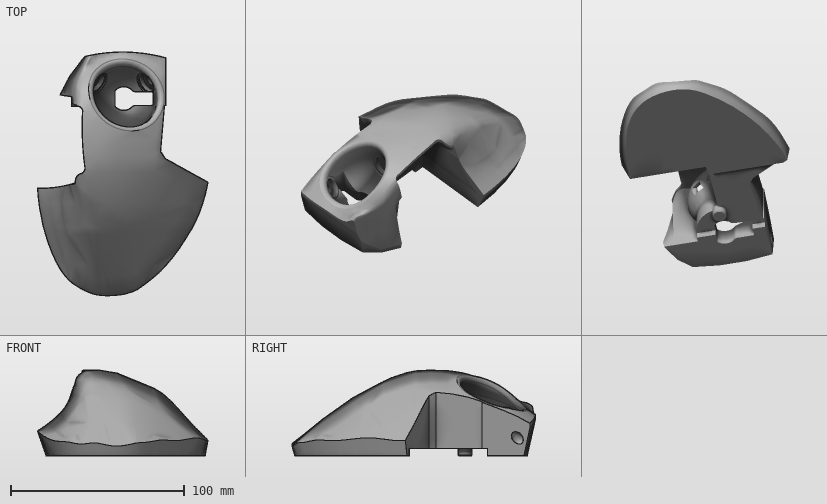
import cadquery as cq
import math

BLOCK_HEIGHT = 63.2
REACH = 168.5
FOUNDATION_Z = -84.3

BALL_X, BALL_Y, BALL_Z = 49.7, 113.6, 29.2
BALL_CENTER = cq.Vector(BALL_X, BALL_Y, BALL_Z)
CUP_RADIUS = 19.1
CUP_WALL = 2.1
CUP_BLEND = 15.0
MOUTH_AXIS = cq.Vector(0.22, 0.3, 1)
MOUTH_FILLET = 2.7
BEARINGS = ((34, 33), (148, 24), (270, 8))
BEARING_DIAMETER = 11.2
BEARING_RIM_DIAMETER = 13.5
BEARING_BORE_START = 9.8
BEARING_SHOULDER = 18.8
BEARING_SEAT = 21.8
THROUGH_HOLE_DIAMETER = 5.6
WINDOW_DEPTH, WINDOW_WIDTH, WINDOW_HEIGHT = 11.2, 4.5, 6.5
WINDOW_CENTER = cq.Vector(36.5, 97.5, 25.8)

SENSOR_DIAMETER = 13.5
SENSOR_FLAT = 5.0
SENSOR_SLOT_END = 16.9
SENSOR_SLOT_WIDTH = 7.7
SENSOR_SLOT_FILLET = 0.8
SENSOR_BLEND = 2.8
SENSOR_HOUSING_RADIUS = 16.0
SENSOR_HOUSING_FILLET = 1.8

LIP_X = 26.0
LIP_THICKNESS = 2.1
ROOF_THICKENING = 0.08
NOSE_THICKENING = 0.005695
LIP_PEAK_Y = 84.3
RELIEF_HEIGHT = 4.1
RELIEF_START, RELIEF_END = 67.8, 112.7
PIN_DIAMETER = 8.1
PIN_Y = 99.9
PIN_CHAMFER = 0.5

PALM_WIDTH = 98.2
PALM_CENTER = cq.Vector(45, 64.6, 0)
LEFT_FLARE, RIGHT_FLARE = 0.35, 0.2
FLARE_TOP = 21.1
NOSE_FLARE = 12
PALM_RIM = (
    (0, 81.5, 14.3), (0, 62.1, 14.3), (2.4, 44.5, 12.0), (6.3, 29.8, 10.3), (13.8, 14.5, 8.3), (22.2, 5.9, 7.2),
    (31.7, 1.5, 6.5), (42.4, 0, 6.3), (54.1, 2.2, 6.5), (64.6, 9.1, 7.2), (74.2, 18.1, 8.0), (86.8, 35.1, 9.4),
    (93.3, 48.3, 9.4), (PALM_WIDTH, 65.2, 9.1), (PALM_WIDTH, 81.5, 9.1),
)

ROOF_SECTIONS = (
    (-11.2, ((-5.6, 5.6), (11.2, 1.4), (23.9, -0.7), (30.9, -0.7), (45, -0.8), (60.4, -1.4), (74.5, 0), (87.1, 2.8), (104, 5.6))),
    (5.6, ((-5.6, 9.1), (11.2, 6.7), (22.5, 6.9), (30.9, 9.4), (42.1, 10.5), (56.2, 9.1), (64.6, 6.5), (84.3, 6.3), (104, 5.6))),
    (19.7, ((-5.6, 8.4), (9.8, 8.1), (21.1, 14.3), (29.5, 20.6), (40.7, 22.5), (56.2, 19.4), (67.4, 13.0), (80, 7.6), (104, 5.6))),
    (42.1, ((-5.6, 9.8), (2.8, 11.8), (15.5, 20.6), (25.3, 33.3), (35.1, 37.1), (53.4, 34.5), (70.2, 26.0), (91.3, 9.8), (104, 4.9))),
    (63.2, ((-5.6, 12.0), (0, 14.3), (14, 25.5), (20.1, 37.0), (27.4, 46.4), (46.4, 45.2), (67.4, 36.5), (84.3, 21.1), (104, 4.2))),
    (84.3, ((-5.6, 12.2), (0, 14.3), (14, 26.7), (20.5, 43.5), (27.4, 49.3), (46.4, 47.3), (67.4, 38.6), (84.3, 26.7), (104, 11.2))),
    (109.5, ((-5.6, -1.4), (5.6, 4.2), (12.6, 10.3), (19.7, 33.7), (26.4, 44.5), (46.4, 42.4), (67.4, 34.4), (84.3, 23.9), (104, 11.2))),
    (126.4, ((-5.6, -16.9), (7, -11.2), (17.7, 0.7), (22.2, 25.3), (28.1, 35.1), (46.4, 34.0), (67.4, 27.4), (84.3, 18.3), (104, 7))),
    (143.3, ((-5.6, -39.3), (11.2, -25.3), (19.7, -14), (24.9, 9.8), (30.8, 21.9), (46.4, 23.3), (67.4, 19.0), (84.3, 12.6), (104, 4.2))),
)


def roof_thickness(x, y):
    rate = ROOF_THICKENING + NOSE_THICKENING * max(0, y - LIP_PEAK_Y)
    return LIP_THICKNESS + rate * (x - LIP_X)


def roof_solid(under_skin=False):
    """Everything under the roof surface, or under the ceiling of the thumb opening."""
    wires = []
    for y, points in ROOF_SECTIONS:
        top = [cq.Vector(x, y, z - (roof_thickness(x, y) if under_skin else 0)) for x, z in points]
        low_right = cq.Vector(top[-1].x, y, FOUNDATION_Z)
        low_left = cq.Vector(top[0].x, y, FOUNDATION_Z)
        edges = [
            cq.Edge.makeSpline(top, parameters=range(len(top))),
            cq.Edge.makeLine(top[-1], low_right),
            cq.Edge.makeLine(low_right, low_left),
            cq.Edge.makeLine(low_left, top[0]),
        ]
        wires.append(cq.Wire.assembleEdges(edges))
    return cq.Workplane(obj=cq.Solid.makeLoft(wires))


def palm_outline(height):
    """Closed outline of the flared palm skirt at a given height."""
    points = []
    for x, y, rim_height in PALM_RIM:
        away = (cq.Vector(x, y, 0) - PALM_CENTER).normalized()
        lean = LEFT_FLARE + (RIGHT_FLARE - LEFT_FLARE) * x / PALM_WIDTH
        points.append(cq.Vector(x, y, height) + away * ((height - rim_height) * lean))
    return cq.Wire.assembleEdges([cq.Edge.makeSpline(points), cq.Edge.makeLine(points[-1], points[0])])


def palm_block():
    skirt = cq.Workplane(obj=cq.Solid.makeLoft([palm_outline(0), palm_outline(FLARE_TOP)], True))
    above = cq.Face.makeFromWires(palm_outline(FLARE_TOP))
    upright = cq.Solid.extrudeLinear(above, cq.Vector(0, 0, BLOCK_HEIGHT - FLARE_TOP))
    skirt = skirt.union(cq.Workplane(obj=upright))
    front_edge = (
        cq.Workplane("XY").moveTo(-42.1, -42.1).lineTo(-42.1, 62.1).lineTo(0, 62.1)
        .threePointArc((12.6, 63.0), (22.5, 65.3)).lineTo(73.6, 79.1).lineTo(98.2, 65.5)
        .lineTo(140.5, 42.1).lineTo(140.5, -42.1).close()
    )
    return skirt.intersect(front_edge.extrude(BLOCK_HEIGHT))


def bridge_block():
    """Bridge between palm and nose, with the notched lip over the thumb opening."""
    outline = (
        cq.Workplane("XY").moveTo(21.8, 56.2).lineTo(21.8, 66)
        .threePointArc((22.9, 69.1), (25.3, 70.5)).threePointArc((26.7, 71.6), (27.3, 74.2))
        .spline([(25.7, 94.1), (25.8, 105.4)], includeCurrent=True)
        .threePointArc((25.3, 108.2), (23.6, 109.1)).lineTo(19.7, 109.1).lineTo(19.7, 118)
        .lineTo(73.9, 118).lineTo(71.0, 83.2).lineTo(73.6, 79.1).lineTo(73.6, 56.2).close()
    )
    return outline.extrude(BLOCK_HEIGHT)


def nose_block():
    """Nose with a flared front, trimmed to its outline in plan."""
    flared = (
        cq.Workplane("XY").moveTo(14, 109.5).lineTo(14, 115.9).lineTo(19.4, 126.4).lineTo(27.0, 133.7)
        .threePointArc((43.5, 135.7), (81.5, 132)).lineTo(81.5, 109.5).close()
        .extrude(BLOCK_HEIGHT, taper=-NOSE_FLARE)
    )
    limits = (
        cq.Workplane("XY").moveTo(12.5, 115.7).threePointArc((18.7, 128.5), (27.0, 137.8))
        .threePointArc((49.2, 140.5), (73.9, 137.1)).lineTo(73.9, 109.5).lineTo(19.7, 109.5).lineTo(19.7, 114.6).close()
    )
    return flared.intersect(limits.extrude(BLOCK_HEIGHT))


def cup_outside():
    """Outer half of the ball cup, blended into the web, with the sensor housing."""
    outer = CUP_RADIUS + CUP_WALL
    foot = math.sqrt((outer + CUP_BLEND) ** 2 - CUP_BLEND ** 2)
    lean = math.asin(CUP_BLEND / (outer + CUP_BLEND))
    touch = (-outer * math.sin(lean), outer * math.cos(lean))
    cap_angle = (lean + math.pi / 2) / 2
    cap_middle = (-outer * math.sin(cap_angle), outer * math.cos(cap_angle))
    blend_angle = (math.pi / 2 - lean) / 2
    blend_middle = (-CUP_BLEND * (1 - math.cos(blend_angle)), foot - CUP_BLEND * math.sin(blend_angle))
    cup = (
        cq.Workplane("XY", origin=BALL_CENTER.toTuple()).moveTo(1.4, 0).lineTo(-outer, 0)
        .threePointArc(cap_middle, touch).threePointArc(blend_middle, (0, foot))
        .lineTo(1.4, foot).close().revolve(360, (0, 0), (1, 0))
    )
    housing = cq.Workplane("XY").center(BALL_X, BALL_Y).circle(SENSOR_HOUSING_RADIUS).extrude(BALL_Z)
    cup = cup.union(housing)
    rim_level = BALL_Z - math.sqrt(outer ** 2 - SENSOR_HOUSING_RADIUS ** 2)
    picker = cq.selectors.BoxSelector(
        (BALL_X - 16.9, BALL_Y - 16.9, rim_level - 0.7), (BALL_X + 16.9, BALL_Y + 16.9, rim_level + 0.7))
    return cup.edges(picker).fillet(SENSOR_HOUSING_FILLET)


def thumb_opening():
    """Space beside the web, under the roof lip, around the outside of the cup."""
    profile = (
        cq.Workplane("YZ").moveTo(61.8, -1.4).lineTo(62.1, 11.2).lineTo(64.2, 32.6).lineTo(64.2, 38.9)
        .lineTo(69.1, 48.3).lineTo(69.1, 56.2).lineTo(108.6, 56.2).lineTo(109.1, 45).lineTo(111.8, 28.1)
        .lineTo(115.6, -1.4).close()
    )
    space = profile.extrude(BALL_X)
    return space.intersect(roof_solid(under_skin=True)).cut(cup_outside())


def underside_relief():
    return (
        cq.Workplane("XY").box(REACH, RELIEF_END - RELIEF_START, RELIEF_HEIGHT, centered=(True, False, False))
        .translate((BALL_X, RELIEF_START, 0))
    )


def locating_pin():
    return (
        cq.Workplane("XY").center(BALL_X, PIN_Y).circle(PIN_DIAMETER / 2).extrude(RELIEF_HEIGHT + 1.4)
        .faces("<Z").chamfer(PIN_CHAMFER)
    )


def ball_socket():
    ball = cq.Workplane("XY").sphere(CUP_RADIUS).translate(BALL_CENTER)
    mouth = cq.Workplane(obj=cq.Solid.makeCylinder(CUP_RADIUS, REACH, BALL_CENTER, MOUTH_AXIS))
    return ball.union(mouth)


def round_mouth(part):
    """Fillet the rim where the ball opening breaks through the roof."""
    above_ball = cq.selectors.BoxSelector(
        (BALL_X - 2.8, BALL_Y - 2.8, BALL_Z), (BALL_X + 5.6, BALL_Y + 5.6, BLOCK_HEIGHT))
    return part.edges(above_ball).edges("%BSPLINE").fillet(MOUTH_FILLET)


def bearing_pocket(angle, drop_angle):
    """Stepped pocket for one bearing, on an axis through the ball centre."""
    turn, drop = math.radians(angle), math.radians(drop_angle)
    axis = cq.Vector(math.cos(turn) * math.cos(drop), math.sin(turn) * math.cos(drop), -math.sin(drop))
    start = BALL_CENTER + axis * BEARING_BORE_START

    def bore(diameter, end):
        return cq.Workplane(obj=cq.Solid.makeCylinder(diameter / 2, end - BEARING_BORE_START, start, axis))

    pocket = bore(BEARING_RIM_DIAMETER, BEARING_SHOULDER).union(bore(BEARING_DIAMETER, BEARING_SEAT))
    return pocket.union(bore(THROUGH_HOLE_DIAMETER, REACH)) if (angle, drop_angle) == BEARINGS[0] else pocket


def bearing_window():
    """Rectangular notch in the cup's outside, beside the bearing nearest the palm."""
    return cq.Workplane("XY").box(WINDOW_DEPTH, WINDOW_WIDTH, WINDOW_HEIGHT).translate(WINDOW_CENTER)


def sensor_opening():
    """Round lens hole with a flat on one side and a slot blended into the other."""
    radius = SENSOR_DIAMETER / 2
    lens = (
        cq.Workplane("XY").circle(radius).extrude(BALL_Z)
        .intersect(cq.Workplane("XY").box(SENSOR_FLAT + radius, SENSOR_DIAMETER, REACH)
                   .translate(((radius - SENSOR_FLAT) / 2, 0, 0)))
    )
    slot = (
        cq.Workplane("XY").rect(SENSOR_SLOT_END, SENSOR_SLOT_WIDTH).extrude(BALL_Z)
        .translate((SENSOR_SLOT_END / 2, 0, 0)).edges("|Z and >X").fillet(SENSOR_SLOT_FILLET)
    )
    corner_x = math.sqrt(radius ** 2 - (SENSOR_SLOT_WIDTH / 2) ** 2)
    picker = cq.selectors.BoxSelector((corner_x - 0.3, -radius, -1.4), (corner_x + 0.3, radius, BALL_Z + 1.4))
    opening = lens.union(slot).edges("|Z").edges(picker).fillet(SENSOR_BLEND)
    return opening.translate((BALL_X, BALL_Y, 0))


body = roof_solid().intersect(palm_block().union(bridge_block()).union(nose_block()))
body = body.cut(thumb_opening()).cut(underside_relief()).union(locating_pin())
result = round_mouth(body.cut(ball_socket()))
result = result.cut(sensor_opening()).cut(bearing_window())
for bearing_angle, bearing_drop in BEARINGS:
    result = result.cut(bearing_pocket(bearing_angle, bearing_drop))